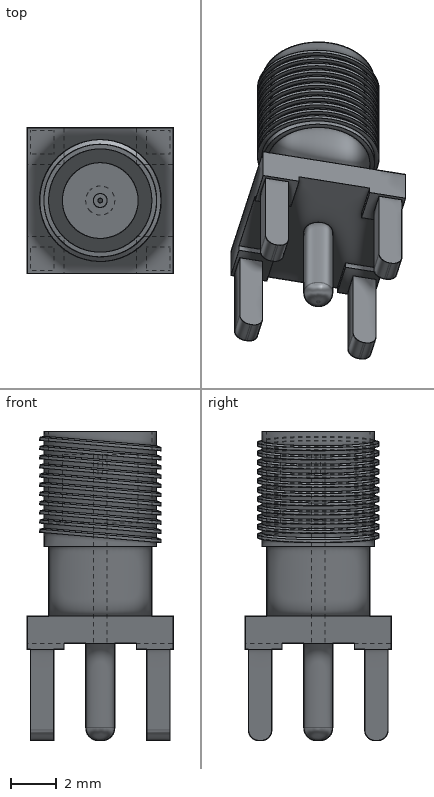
import cadquery as cq

total_height = 13.46
collar_length = 5.02
barrel_length = 3.02
collar_bottom = total_height - collar_length
base_top = collar_bottom - barrel_length
base_thickness = 1.45
base_bottom = base_top - base_thickness

base_side = 6.35
relief_width = 3.15
relief_depth = 0.27
relief_floor = base_bottom + relief_depth

leg_width = 1.02
leg_pitch = 5.06
leg_tip_radius = 0.47

barrel_diameter = 4.5
collar_diameter = 4.9
socket_diameter = 4.5
core_diameter = 3.3
core_recess = 1.01
core_top = total_height - core_recess
socket_depth = 4.0
socket_floor = total_height - socket_depth

ridge_diameter = 5.3
ridge_count = 11
ridge_span = 4.0
ridge_pitch = ridge_span / (ridge_count - 1)
ridge_tilt = 4.9
ridge_crest_width = 0.13
ridge_root_width = 0.2
ridge_embed = 0.07
top_ridge_drop = 0.62

tail_diameter = 1.27
tail_tip_radius = 0.57
stem_diameter = 0.6
contact_hole_diameter = 0.2
contact_hole_depth = 1.01


def cylinder(diameter, bottom, top):
    return cq.Workplane("XY").workplane(offset=bottom).circle(diameter / 2).extrude(top - bottom)


def make_base():
    """Square block with two crossing channels under it."""
    underside = cq.Workplane("XY").workplane(offset=base_bottom)
    base = underside.rect(base_side, base_side).extrude(base_thickness)
    for length, width in [(base_side, relief_width), (relief_width, base_side)]:
        base = base.cut(underside.rect(length, width).extrude(relief_depth))
    return base


def make_leg(x, y):
    """Square leg whose tip is rounded about axes along X."""
    leg = cq.Workplane("XY", origin=(x, y, 0)).rect(leg_width, leg_width).extrude(base_bottom)
    return leg.faces("<Z").edges("|X").fillet(leg_tip_radius)


def make_ridge(height):
    """Ring with a flat underside and a sloped top, tilted so that its -X side is the higher one."""
    crest = ridge_diameter / 2
    root = collar_diameter / 2
    inner = root - ridge_embed
    section = [
        (inner, 0),
        (crest, 0),
        (crest, ridge_crest_width),
        (root, ridge_root_width),
        (inner, ridge_root_width),
    ]
    ring = cq.Workplane("XZ").polyline(section).close().revolve(360, (0, 0, 0), (0, 1, 0))
    return ring.rotate((0, 0, 0), (0, 1, 0), ridge_tilt).translate((0, 0, height))


def make_pin():
    """Contact pin: round-tipped tail under the base, thinner stem up to the top of the core."""
    tail = cylinder(tail_diameter, 0, relief_floor).faces("<Z").edges().fillet(tail_tip_radius)
    stem = cylinder(stem_diameter, relief_floor, core_top)
    contact_hole = cylinder(contact_hole_diameter, core_top - contact_hole_depth, core_top)
    return tail.union(stem).cut(contact_hole)


def make_socket():
    """Space cut into the collar: a round bore with a lower core left standing in it."""
    bore = cylinder(socket_diameter, socket_floor, total_height)
    return bore.cut(cylinder(core_diameter, socket_floor, core_top))


def make_housing():
    housing = make_base()
    housing = housing.union(cylinder(barrel_diameter, base_top, collar_bottom))
    housing = housing.union(cylinder(collar_diameter, collar_bottom, total_height))
    for index in range(ridge_count):
        housing = housing.union(make_ridge(total_height - top_ridge_drop - index * ridge_pitch))
    for x in (-leg_pitch / 2, leg_pitch / 2):
        for y in (-leg_pitch / 2, leg_pitch / 2):
            housing = housing.union(make_leg(x, y))
    stem_bore = cylinder(stem_diameter, relief_floor, core_top)
    return housing.cut(make_socket()).cut(stem_bore)


housing = make_housing()
pin = make_pin()
result = cq.Compound.makeCompound([housing.val(), pin.val()])